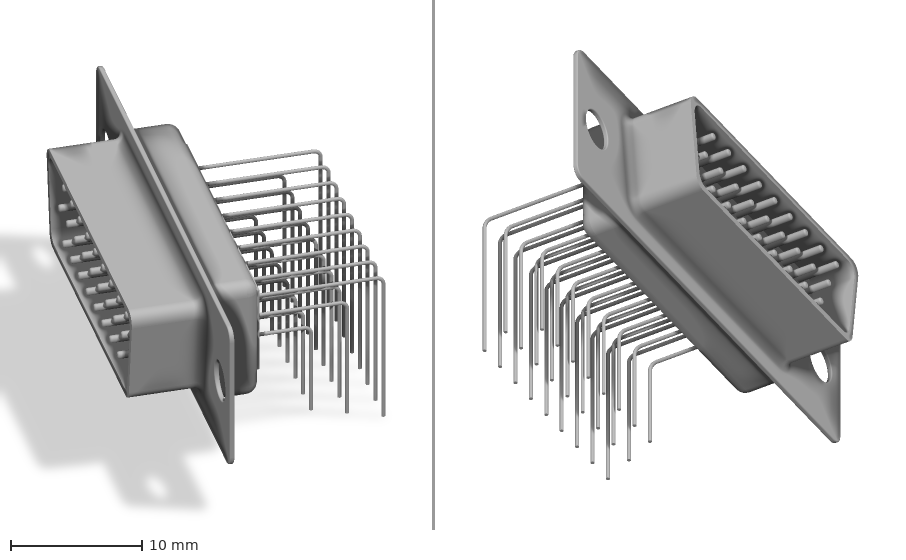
import cadquery as cq
import math


overall_depth = 20.75
overall_height = 16.25

flange_width = 39.2
flange_height = 12.43
flange_thickness = 0.4
flange_corner_radius = 0.98
flange_edge_round = 0.098
mounting_hole_diameter = 3.2
mounting_hole_spacing = 33.32

shell_length = 5.8
shell_top_width = 24.95
shell_height = 8.35
shell_corner_radius = 0.98
shell_wall = 0.5
shell_side_angle = 7.5
shell_root_fillet = 0.6
cavity_corner_radius = 0.98
cavity_depth = 3.7

body_width = 24.23
body_height = 10.25
body_length = 4.0
body_corner_radius = 1.0
body_back_round = 0.98
pad_width = 21.15
pad_height = 7.17
pad_thickness = 0.4

lead_span = 19.5
lead_columns = 18
row_spacing = 2.55
pin_diameter = 0.6
pin_tip_round = 0.15
pin_setback = 0.2
lead_diameter = 0.3
lead_bend_radius = 0.6
lead_bottom_z = flange_height / 2 - overall_height

body_back_y = flange_thickness + body_length
pad_back_y = body_back_y + pad_thickness
cavity_floor_y = cavity_depth - shell_length

lead_column_pitch = lead_span / (lead_columns - 1)
contact_pitch = 2 * lead_column_pitch
first_column_x = -lead_span / 2
second_column_x = first_column_x + lead_column_pitch
middle_row_leg_y = overall_depth - shell_length - lead_diameter / 2 - row_spacing

contact_rows = [
    (1, second_column_x, 9),
    (0, first_column_x, 9),
    (-1, second_column_x, 8),
]


def section(y):
    """Sketch plane at the given y; local x is X, local y is Z, extrusion runs toward -Y."""
    return cq.Workplane("XZ", origin=(0, y, 0))


def d_prism(inset, corner_radius, start_y, length):
    """Rounded D-shaped prism, inset from the shell outline and running toward -Y."""
    angle = math.radians(shell_side_angle)
    half_height = shell_height / 2 - inset
    corner_overhang = shell_corner_radius * (math.tan(math.pi / 4 + angle / 2) - 1)
    sharp_half_width = shell_top_width / 2 + corner_overhang
    side_at_middle = sharp_half_width - shell_height / 2 * math.tan(angle) - inset / math.cos(angle)
    lean = half_height * math.tan(angle)
    corners = [
        (side_at_middle + lean, half_height),
        (-side_at_middle - lean, half_height),
        (lean - side_at_middle, -half_height),
        (side_at_middle - lean, -half_height),
    ]
    prism = section(start_y).polyline(corners).close().extrude(length)
    return prism.edges("|Y").fillet(corner_radius)


def make_flange():
    """Flange plate with two mounting holes and all edges of both faces rounded."""
    hole_x = mounting_hole_spacing / 2
    flange = section(flange_thickness).rect(flange_width, flange_height).extrude(flange_thickness)
    flange = flange.edges("|Y").fillet(flange_corner_radius)
    hole_centres = section(flange_thickness).pushPoints([(-hole_x, 0), (hole_x, 0)])
    flange = flange.cut(hole_centres.circle(mounting_hole_diameter / 2).extrude(flange_thickness))
    return flange.faces("<Y or >Y").edges().fillet(flange_edge_round)


def make_body():
    body = section(body_back_y).rect(body_width, body_height).extrude(body_length)
    body = body.edges("|Y").fillet(body_corner_radius)
    body = body.faces(">Y").edges().fillet(body_back_round)
    pad = section(pad_back_y).rect(pad_width, pad_height).extrude(pad_thickness)
    return body.union(pad)


def make_pin(x, z):
    """Contact pin standing on the cavity floor, with a rounded tip."""
    length = cavity_depth - pin_setback
    pin = section(cavity_floor_y).center(x, z).circle(pin_diameter / 2).extrude(length)
    return pin.faces("<Y").fillet(pin_tip_round)


def make_lead(x, z, leg_y):
    """Round wire running back from the pad, then bent down to the common lead end height."""
    bend_offset = lead_bend_radius * math.sqrt(0.5)
    path = (
        cq.Workplane("YZ", origin=(x, 0, 0))
        .moveTo(body_back_y, z)
        .lineTo(leg_y - lead_bend_radius, z)
        .threePointArc(
            (leg_y - lead_bend_radius + bend_offset, z - lead_bend_radius + bend_offset),
            (leg_y, z - lead_bend_radius),
        )
        .lineTo(leg_y, lead_bottom_z)
    )
    return section(body_back_y).center(x, z).circle(lead_diameter / 2).sweep(path)


result = make_flange().union(d_prism(0, shell_corner_radius, 0, shell_length))
root_box_margin = 0.4
root_box_x = shell_top_width / 2 + root_box_margin
root_box_z = shell_height / 2 + root_box_margin
shell_root = cq.selectors.BoxSelector(
    (-root_box_x, -root_box_margin, -root_box_z),
    (root_box_x, root_box_margin, root_box_z),
)
result = result.edges(shell_root).fillet(shell_root_fillet)
result = result.cut(d_prism(shell_wall, cavity_corner_radius, cavity_floor_y, cavity_depth))
result = result.union(make_body())

for row, first_x, count in contact_rows:
    row_z = row * row_spacing
    leg_y = middle_row_leg_y + row_z
    for column in range(count):
        contact_x = first_x + column * contact_pitch
        result = result.union(make_pin(contact_x, row_z))
        result = result.union(make_lead(contact_x, row_z, leg_y))